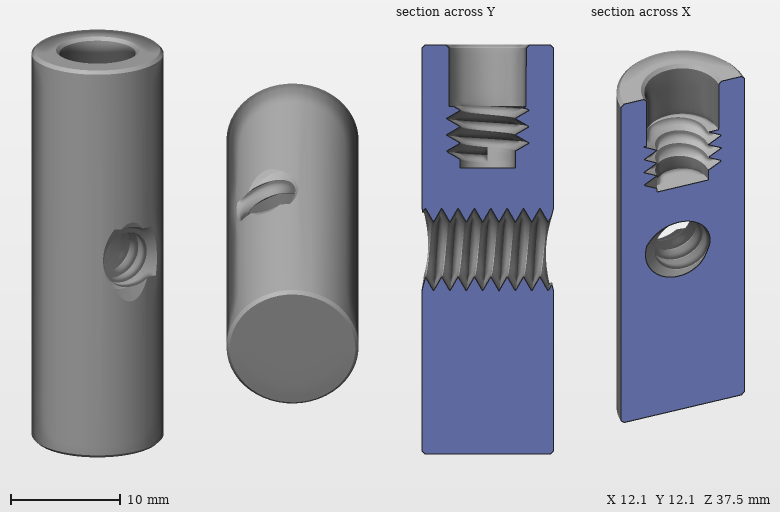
import cadquery as cq
import math

length = 37.5
rod_radius = 6.055
edge_chamfer = 0.3

minor_radius = 2.5
pitch = 1.5
groove_angle = 60.0
crest_flat = 0.05
crest_overlap = 0.02
countersink_radius = 3.805

bore_radius = 3.505
bore_depth = 5.62
threaded_depth = 5.62
axial_turns = 4
floor_z = length - bore_depth

cross_z = length / 2
cross_countersink_depth = 0.35
thread_lead_in = 2.48
cross_turns = 12


def thread_groove(turns):
    """Solid V groove winding up around Z, its root starting at Z = 0 on the +X side."""
    half_width = (pitch - crest_flat) / 2
    crest_radius = minor_radius - crest_overlap
    root_radius = crest_radius + half_width / math.tan(math.radians(groove_angle / 2))

    def helix(radius, offset):
        return cq.Wire.makeHelix(pitch, turns * pitch, radius).translate(cq.Vector(0, 0, offset))

    corners = [helix(crest_radius, -half_width), helix(root_radius, 0), helix(crest_radius, half_width)]
    faces = []
    for i in range(3):
        strip = cq.Face.makeRuledSurface(corners[i - 1], corners[i])
        faces.extend(strip.Faces())
    for ends in ([w.startPoint() for w in corners], [w.endPoint() for w in corners]):
        faces.append(cq.Face.makeFromWires(cq.Wire.makePolygon(ends, close=True)))
    return cq.Workplane(obj=cq.Solid.makeSolid(cq.Shell.makeShell(faces)))


def countersink(end_radius, depth, center, direction):
    """Cone narrowing from the countersink radius at the centre to the end radius at the depth."""
    cone = cq.Solid.makeCone(countersink_radius, end_radius, depth, cq.Vector(*center), cq.Vector(*direction))
    return cq.Workplane(obj=cone)


def cut_axial_hole(body):
    bore = cq.Workplane("XY").workplane(offset=floor_z).circle(bore_radius).extrude(bore_depth)
    core = cq.Workplane("XY").workplane(offset=floor_z).circle(minor_radius).extrude(-threaded_depth)
    sink = countersink(bore_radius, countersink_radius - bore_radius, (0, 0, length), (0, 0, -1))

    groove = thread_groove(axial_turns).rotate((0, 0, 0), (0, 0, 1), -90)
    groove = groove.translate((0, 0, floor_z - (axial_turns - 1) * pitch))
    above_floor = cq.Workplane("XY").workplane(offset=floor_z).circle(rod_radius).extrude(length)
    groove = groove.cut(above_floor, clean=False)

    body = body.cut(bore).cut(sink)
    return body.cut(groove, clean=False).cut(core, clean=False)


def cut_cross_hole(body):
    groove = thread_groove(cross_turns).rotate((0, 0, 0), (0, 1, 0), 90)
    groove = groove.translate((-rod_radius - thread_lead_in, 0, cross_z))
    core = cq.Workplane("YZ").workplane(offset=-length / 2).center(0, cross_z).circle(minor_radius).extrude(length)
    body = body.cut(groove, clean=False).cut(core, clean=False)
    for side in (-1, 1):
        center = (side * rod_radius, 0, cross_z)
        sink = countersink(minor_radius, cross_countersink_depth, center, (-side, 0, 0))
        body = body.cut(sink, clean=False)
    return body


rod = cq.Workplane("XY").circle(rod_radius).extrude(length)
rod = rod.faces("<Z or >Z").chamfer(edge_chamfer)
rod = cut_axial_hole(rod)
rod = cut_cross_hole(rod)
result = cq.Workplane(obj=rod.solids().val())